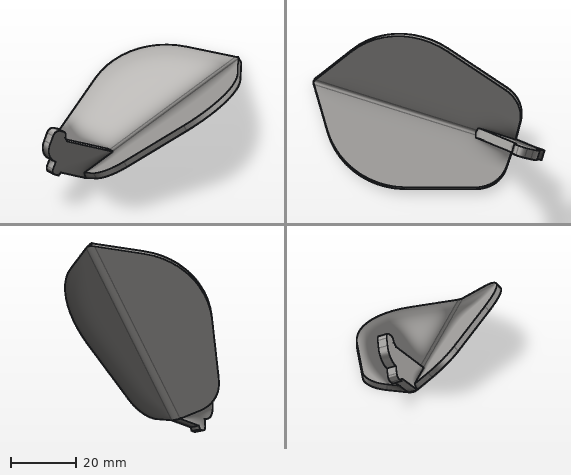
import cadquery as cq
import math

thickness = 2.0
fold_angle = 45.0
inner_radius = thickness
outer_radius = inner_radius + thickness

blade_length = 65.0
shoulder = (28.9, -19.7)
heel = (13.9, -blade_length)
shoulder_radius = 25.05
heel_radius = 9.8

half_fold = math.radians(fold_angle / 2)
stem_thickness = 2 * outer_radius * math.sin(half_fold)
stem_slope = 45.0
stem_width = 9.95
notch_start = 10.9
tab_start = 11.4
tab_end = 14.55
tab_drop = 1.05
tab_radius = 1.6
head_bottom = 2.95
head_end = 19.5
head_flat_start = 8.15
head_top = 12.7
head_radius = 1.95
barb_start = 15.8
neck_end = 12.8
head_curve_middle = (18.1, 4.5)
barb_curve_middle = (14.8, 12.2)
barb_root = (14.25, 10.95)


def on_bend(radius, angle):
    """Point of the bend section at an angle past the end of the flat blade."""
    return (radius * math.sin(angle), outer_radius - radius * math.cos(angle))


def make_half_leaf():
    """Flat blade reaching out in -X, with its half of the bend up to the bisecting plane."""
    inner_middle = on_bend(inner_radius, half_fold)
    outer_middle = on_bend(outer_radius, half_fold)
    section = (
        cq.Workplane("XZ")
        .moveTo(-shoulder[0], 0)
        .lineTo(0, 0)
        .threePointArc(on_bend(outer_radius, half_fold / 2), outer_middle)
        .lineTo(*inner_middle)
        .threePointArc(on_bend(inner_radius, half_fold / 2), (0, thickness))
        .lineTo(-shoulder[0], thickness)
        .close()
        .extrude(blade_length)
    )
    corners = [(-shoulder[0], shoulder[1]), (-heel[0], heel[1])]
    root = outer_middle[0]
    points = [(root, 0), (inner_middle[0], 0), *corners, (root, -blade_length)]
    outline = cq.Workplane("XY").polyline(points).close().extrude(outer_radius)
    for corner, radius in zip(corners, (shoulder_radius, heel_radius)):
        corner_edge = cq.selectors.NearestToPointSelector((*corner, outer_radius / 2))
        outline = outline.edges(corner_edge).fillet(radius)
    return section.intersect(outline)


def make_stem():
    """Hooked stem whose length rises away from the leaf base, standing on the outer bend chord."""
    lean = math.cos(math.radians(stem_slope))
    rise = math.sin(math.radians(stem_slope))
    plane = cq.Plane(origin=(0, -blade_length, 0), xDir=(0, -lean, rise), normal=(-1, 0, 0))
    foot = -stem_width * lean / rise
    tab_bevel = tab_radius * (1 - math.sqrt(0.5))
    head_bevel = head_radius * (1 - math.sqrt(0.5))
    stem = (
        cq.Workplane(plane)
        .moveTo(0, 0)
        .lineTo(notch_start, 0)
        .lineTo(tab_start, -tab_drop)
        .lineTo(tab_end - tab_radius, -tab_drop)
        .threePointArc((tab_end - tab_bevel, tab_bevel - tab_drop), (tab_end, tab_radius - tab_drop))
        .lineTo(tab_end, head_bottom)
        .threePointArc(head_curve_middle, (head_end, head_flat_start))
        .lineTo(head_end, head_top - head_radius)
        .threePointArc((head_end - head_bevel, head_top - head_bevel), (head_end - head_radius, head_top))
        .lineTo(barb_start, head_top)
        .threePointArc(barb_curve_middle, barb_root)
        .lineTo(neck_end, stem_width)
        .lineTo(foot, stem_width)
        .close()
        .extrude(-stem_thickness)
    )
    return stem.rotate((0, 0, 0), (0, 1, 0), -fold_angle / 2)


flat_half = make_half_leaf()
fold_axis = ((0, 0, outer_radius), (0, 1, outer_radius))
raised_half = flat_half.mirror("YZ").rotate(*fold_axis, -fold_angle)
result = flat_half.union(raised_half).union(make_stem())